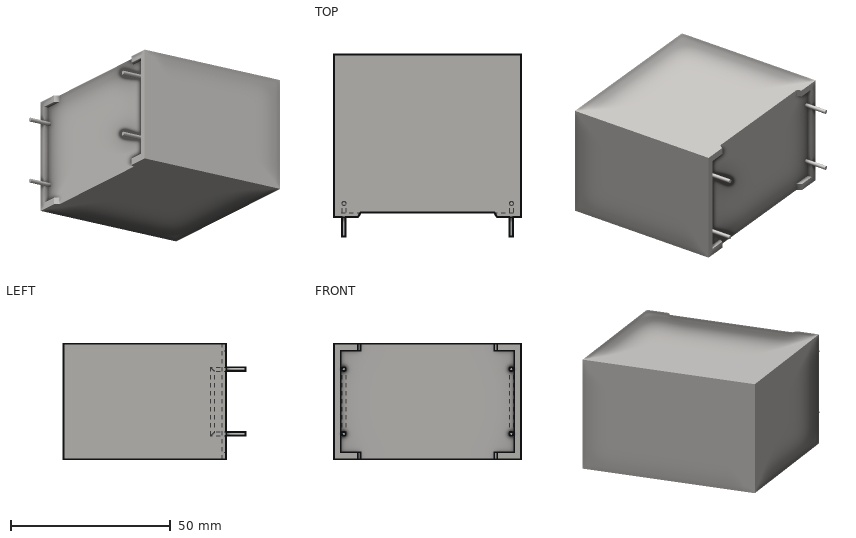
import cadquery as cq

width = 58.7
height = 36.2
overall_depth = 57.2
pin_projection = 6.1
housing_depth = overall_depth - pin_projection
wall = 2.2
floor_recess = 1.45

corner_length_at_rim = 7.5
corner_length_at_floor = 8.45

wire_diameter = 1.25
pin_edge_distance = 3.1
pin_spacing = 20.3
bridge_depth = 2.95

rim_y = 0.0
floor_y = rim_y + floor_recess
tip_y = rim_y - pin_projection
bridge_y = floor_y + bridge_depth
lead_x = width / 2 - pin_edge_distance


def make_lead(x):
    """U-shaped wire with two pins along Y and a mitred crosspiece along Z."""
    half_spacing = pin_spacing / 2
    path = cq.Workplane("YZ", origin=(x, 0, 0)).polyline([
        (tip_y, -half_spacing),
        (bridge_y, -half_spacing),
        (bridge_y, half_spacing),
        (tip_y, half_spacing),
    ])
    start_plane = cq.Plane(origin=(x, tip_y, -half_spacing), xDir=(1, 0, 0), normal=(0, 1, 0))
    return cq.Workplane(start_plane).circle(wire_diameter / 2).sweep(path, transition="right")


def make_rim_gap():
    """Trapezoidal gap through both long walls, widest at the rim."""
    rim_half = width / 2 - corner_length_at_rim
    floor_half = width / 2 - corner_length_at_floor
    outline = cq.Workplane("XY").polyline([
        (-rim_half, rim_y),
        (rim_half, rim_y),
        (floor_half, floor_y),
        (-floor_half, floor_y),
    ]).close()
    return outline.extrude(height / 2, both=True)


def make_housing(embedded_leads):
    """Box with a recessed floor, gaps in the rim and channels that fit the leads."""
    body = cq.Workplane("XY").box(width, housing_depth, height, centered=(True, False, True))
    recess = cq.Workplane("XY").box(
        width - 2 * wall, floor_recess, height - 2 * wall, centered=(True, False, True)
    )
    body = body.cut(recess).cut(make_rim_gap())
    for lead in embedded_leads:
        body = body.cut(lead)
    return body


leads = [make_lead(x) for x in (-lead_x, lead_x)]
housing = make_housing(leads)

result = cq.Compound.makeCompound([housing.val(), *[lead.val() for lead in leads]])